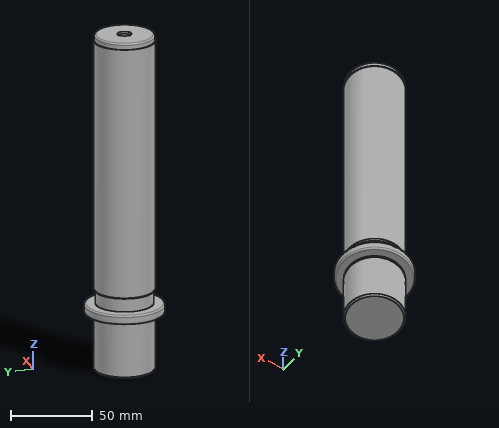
import cadquery as cq

total_length = 217.0
shank_top = 35.5
flange_bottom = 36.9
flange_thickness = 6.0
pin_bottom = 51.5
tip_length = 4.1

flange_diameter = 50.0
pin_diameter = 38.2
neck_diameter = 36.0
undercut_diameter = 37.0
tip_diameter = 37.3

shank_chamfer = 1.0
pin_chamfer = 0.9
flange_fillet = 1.0
tip_fillet = 1.0

hole_diameter = 6.7
countersink_diameter = 8.7
countersink_angle = 90.0
hole_depth = 19.5


def cylinder(diameter, bottom, top):
    """Upright cylinder on the Z axis between two heights."""
    return cq.Workplane("XY").workplane(offset=bottom).circle(diameter / 2).extrude(top - bottom)


flange_top = flange_bottom + flange_thickness
pin_top = total_length - tip_length

shank = cylinder(pin_diameter, 0, shank_top).faces("<Z").edges().chamfer(shank_chamfer)
undercut = cylinder(undercut_diameter, shank_top, flange_bottom)

flange = cylinder(flange_diameter, flange_bottom, flange_top).edges("%CIRCLE").fillet(flange_fillet)

neck = cylinder(neck_diameter, flange_top, pin_bottom)
pin = cylinder(pin_diameter, pin_bottom, pin_top).faces("<Z").edges().chamfer(pin_chamfer)
tip = cylinder(tip_diameter, pin_top, total_length).faces(">Z").edges().fillet(tip_fillet)

body = shank.union(undercut).union(flange).union(neck).union(pin).union(tip)

result = body.faces(">Z").workplane().cskHole(
    hole_diameter, countersink_diameter, countersink_angle, depth=hole_depth
)